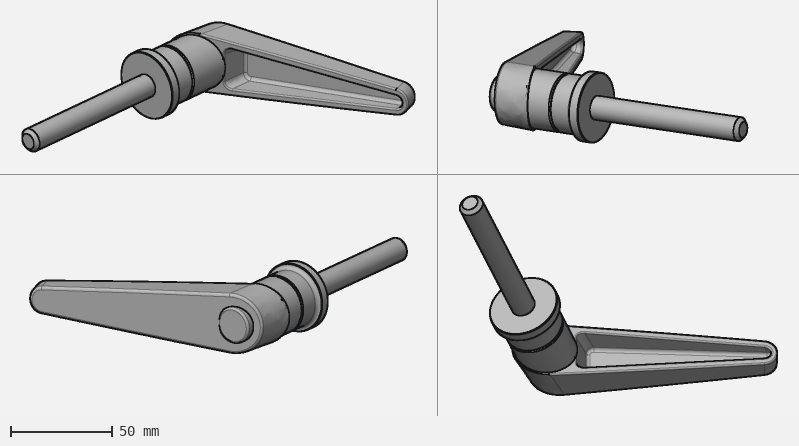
import cadquery as cq
import math


flange_radius = 17.5
flange_height = 5.3
flange_edge = 0.3
collar_radius = 14.75
flare_radius = 2.2
parting_height = 17.9
parting_chamfer = 0.7
pin_radius = 6.0
pin_length = 85.0
pin_chamfer = 2.0

boss_radius = 9.3
boss_top = 56.6
boss_fillet = 1.2

upper_tilt = 15.0
upper_height = 54.45
lower_tilt = 19.2
lower_height = 35.7
upper_edge_fillet = 1.5
lower_edge_fillet = 0.8
sharp_edge_end = 1.5

base_level = 25.0
base_hub_x = 0.1
base_hub_radius = 16.2
base_tip_x = 116.5
base_tip_radius = 8.1
crest_level = 90.0
crest_hub_x = 5.0
crest_hub_radius = 14.9
crest_tip_x = 95.0
crest_tip_radius = 7.0

rim_hub_radius = 12.5
rim_tip_x = 107.0
rim_tip_radius = 3.7
floor_hub_radius = 11.6
floor_tip_x = 104.0
floor_tip_radius = 3.4
pocket_start = 14.8
pocket_roof = 4.0
pocket_corner = 3.5
pocket_floor_fillet = 1.8

trim_size = 400.0


def tilted_plane(height, tilt):
    """Plane crossing the clamping axis; local x runs along the arm, local y is Z."""
    angle = math.radians(tilt)
    along = (math.cos(angle), math.sin(angle), 0)
    downward = (math.sin(angle), -math.cos(angle), 0)
    return cq.Plane(origin=(0, height, 0), xDir=along, normal=downward)


def level_plane(height):
    """Plane square to the clamping axis, facing down that axis."""
    return tilted_plane(height, 0)


upper_plane = tilted_plane(upper_height, upper_tilt)
lower_plane = tilted_plane(lower_height, lower_tilt)


def block_behind(plane):
    """Block filling the space behind a plane."""
    return cq.Workplane(plane).rect(trim_size, trim_size).extrude(-trim_size)


def block_ahead(plane):
    """Block filling the space on the side that the plane's normal points to."""
    return cq.Workplane(plane).rect(trim_size, trim_size).extrude(trim_size)


def tangent_point(centre_x, radius, lean):
    """Point on a circle where a flank leaning toward the tip touches it."""
    return centre_x + radius * math.sin(lean), radius * math.cos(lean)


def arm_outline(plane, hub_x, hub_radius, tip_x, tip_radius):
    """Hub circle and tip circle joined by their outer tangents."""
    lean = math.asin((hub_radius - tip_radius) / (tip_x - hub_x))
    hub_touch_x, hub_touch_y = tangent_point(hub_x, hub_radius, lean)
    tip_touch_x, tip_touch_y = tangent_point(tip_x, tip_radius, lean)
    outline = (
        cq.Workplane(plane)
        .moveTo(hub_touch_x, -hub_touch_y)
        .lineTo(tip_touch_x, -tip_touch_y)
        .threePointArc((tip_x + tip_radius, 0), (tip_touch_x, tip_touch_y))
        .lineTo(hub_touch_x, hub_touch_y)
        .threePointArc((hub_x - hub_radius, 0), (hub_touch_x, -hub_touch_y))
        .close()
    )
    return outline.val()


def pocket_outline(plane, hub_radius, tip_x, tip_radius):
    """Arm-like outline cut off square at the hub end."""
    lean = math.asin((hub_radius - tip_radius) / tip_x)
    tip_touch_x, tip_touch_y = tangent_point(tip_x, tip_radius, lean)
    start_y = tip_touch_y + (tip_touch_x - pocket_start) * math.tan(lean)
    outline = (
        cq.Workplane(plane)
        .moveTo(pocket_start, -start_y)
        .lineTo(tip_touch_x, -tip_touch_y)
        .threePointArc((tip_x + tip_radius, 0), (tip_touch_x, tip_touch_y))
        .lineTo(pocket_start, start_y)
        .close()
    )
    return outline.val()


def ruled_loft(first_wire, second_wire):
    return cq.Workplane(cq.Solid.makeLoft([first_wire, second_wire], True))


def face_toward(direction):
    """Selector for the planar end face lying furthest along a direction."""
    return cq.selectors.DirectionMinMaxSelector(direction, True)


def make_stud():
    """Collar, flange and pin turned about the clamping axis."""
    flare_centre_x = collar_radius + flare_radius
    flare_top = flange_height + flare_radius
    flare_reach = flare_radius * math.sqrt(0.5)
    return (
        cq.Workplane("XY")
        .moveTo(0, -pin_length)
        .lineTo(pin_radius - pin_chamfer, -pin_length)
        .lineTo(pin_radius, -pin_length + pin_chamfer)
        .lineTo(pin_radius, 0)
        .lineTo(flange_radius - flange_edge, 0)
        .lineTo(flange_radius, flange_edge)
        .lineTo(flange_radius, flange_height - flange_edge)
        .lineTo(flange_radius - flange_edge, flange_height)
        .lineTo(flare_centre_x, flange_height)
        .threePointArc(
            (flare_centre_x - flare_reach, flare_top - flare_reach),
            (collar_radius, flare_top),
        )
        .lineTo(collar_radius, parting_height - parting_chamfer)
        .lineTo(collar_radius - parting_chamfer, parting_height)
        .lineTo(0, parting_height)
        .close()
        .revolve(360, (0, 0), (0, 1))
    )


def make_pocket():
    """Drafted recess whose floor runs parallel to the top of the arm."""
    floor_plane = cq.Plane(
        origin=upper_plane.toWorldCoords((0, 0, pocket_roof)),
        xDir=upper_plane.xDir,
        normal=upper_plane.zDir,
    )
    rim = pocket_outline(lower_plane, rim_hub_radius, rim_tip_x, rim_tip_radius)
    floor = pocket_outline(floor_plane, floor_hub_radius, floor_tip_x, floor_tip_radius)
    pocket = ruled_loft(rim, floor)
    corner_edges = pocket.faces("<X").edges("not |Z")
    pocket = corner_edges.fillet(pocket_corner)
    return pocket.faces(face_toward(-upper_plane.zDir)).edges().fillet(pocket_floor_fillet)


def make_arm():
    """Tapered flanks trimmed between the two tilted planes, hollowed by the pocket."""
    base = arm_outline(level_plane(base_level), base_hub_x, base_hub_radius, base_tip_x, base_tip_radius)
    crest = arm_outline(level_plane(crest_level), crest_hub_x, crest_hub_radius, crest_tip_x, crest_tip_radius)
    arm = ruled_loft(base, crest)
    arm = arm.intersect(block_ahead(upper_plane)).intersect(block_behind(lower_plane))
    arm = arm.faces(face_toward(-upper_plane.zDir)).edges().fillet(upper_edge_fillet)
    arm = arm.cut(make_pocket())
    hub_side = cq.Plane(origin=(sharp_edge_end, 0, 0), xDir=(0, 1, 0), normal=(-1, 0, 0))
    sharp_hub = arm.intersect(block_ahead(hub_side))
    rounded_arm = arm.faces(face_toward(lower_plane.zDir)).edges().fillet(lower_edge_fillet)
    return rounded_arm.union(sharp_hub)


def make_lever():
    """Arm with the barrel below its hub and the boss on top, as one solid."""
    barrel = (
        cq.Workplane(level_plane(parting_height))
        .circle(collar_radius)
        .extrude(parting_height - upper_height)
        .faces("<Y")
        .chamfer(parting_chamfer)
        .intersect(block_ahead(lower_plane))
    )
    boss = (
        cq.Workplane(level_plane(boss_top))
        .circle(boss_radius)
        .extrude(boss_top - lower_height - boss_radius)
        .faces(">Y")
        .edges()
        .fillet(boss_fillet)
    )
    return make_arm().union(barrel).union(boss)


stud = make_stud()
lever = make_lever()

result = cq.Compound.makeCompound([stud.val(), *lever.solids().vals()])